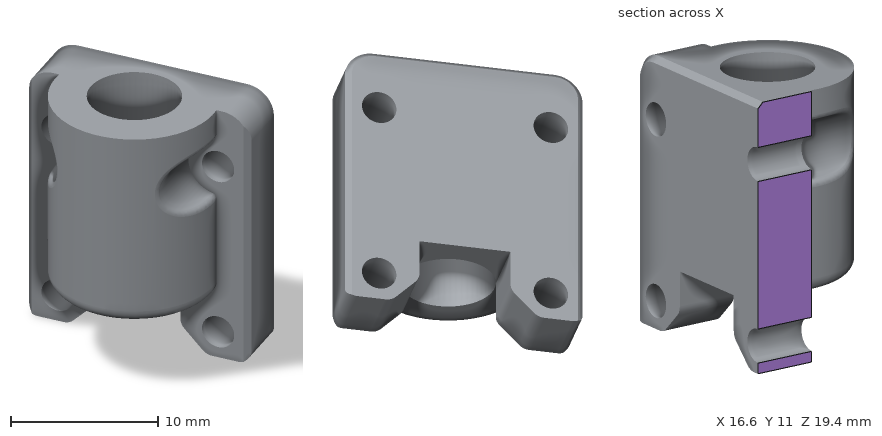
import cadquery as cq
import math

height = 19.4
plate_width = 16.6
plate_thickness = 4.5
plate_back = 5.06
plate_front = plate_back - plate_thickness
plate_chamfer = 0.4
top_corner_radius = 2.0
foot_corner_radius = 0.75

gap_width = 6.36
gap_height = 4.87
leg_chamfer = 1.94
leg_round = 1.0

barrel_radius = 5.9
barrel_bottom_fillet = 1.0
bore_diameter = 6.5

hole_diameter = 2.4
hole_x = 6.0
lower_hole_z = 2.0
hole_pitch_z = 13.0
upper_hole_z = lower_hole_z + hole_pitch_z
scallop_radius = 2.21
scallop_fillet = 0.4


def rod_along_y(x, z, radius, y_start, y_end):
    """Cylinder parallel to Y between two Y positions."""
    length = y_end - y_start
    return cq.Workplane("XZ", origin=(x, y_end, z)).circle(radius).extrude(length)


def make_plate():
    """Plate with rounded corners, beveled edges and a gap between its legs."""
    half_width = plate_width / 2
    half_gap = gap_width / 2
    margin = 0.2

    blank = (
        cq.Workplane("XY")
        .box(plate_width, plate_thickness, height, centered=(True, False, False))
        .translate((0, plate_front, 0))
    )
    front_beveled = blank.edges("|Z and <Y").chamfer(plate_chamfer)

    back_beveled = blank.edges("|Y and >Z").fillet(top_corner_radius)
    back_beveled = back_beveled.faces(">Y").edges("not <Z").chamfer(plate_chamfer)

    outline = (
        cq.Workplane("XZ", origin=(0, plate_back, 0))
        .moveTo(-half_width, 0)
        .lineTo(-half_width, height)
        .lineTo(half_width, height)
        .lineTo(half_width, 0)
        .lineTo(half_gap + leg_chamfer, 0)
        .lineTo(half_gap, leg_chamfer)
        .lineTo(half_gap, gap_height)
        .lineTo(-half_gap, gap_height)
        .lineTo(-half_gap, leg_chamfer)
        .lineTo(-half_gap - leg_chamfer, 0)
        .close()
        .extrude(plate_thickness)
    )

    foot_zone = cq.selectors.BoxSelector(
        (-half_width - margin, plate_front, -margin), (half_width + margin, plate_back, leg_chamfer + margin)
    )
    outline = outline.edges("|Y").edges(foot_zone).edges("<X or >X").fillet(foot_corner_radius)
    inner_zone = cq.selectors.BoxSelector(
        (-half_gap - leg_chamfer - margin, plate_front, -margin),
        (half_gap + leg_chamfer + margin, plate_back, leg_chamfer + margin),
    )
    outline = outline.edges("|Y").edges(inner_zone).fillet(leg_round)
    return front_beveled.intersect(back_beveled).intersect(outline)


def make_barrel():
    """Part of the barrel in front of the plate, scalloped beside the upper holes."""
    half_chord = math.sqrt(barrel_radius**2 - plate_front**2)
    barrel = (
        cq.Workplane("XY", origin=(0, 0, gap_height))
        .moveTo(-half_chord, plate_front)
        .threePointArc((0, -barrel_radius), (half_chord, plate_front))
        .close()
        .extrude(height - gap_height)
    )
    barrel = barrel.edges("<Z").edges("%CIRCLE").fillet(barrel_bottom_fillet)
    for x in (-hole_x, hole_x):
        barrel = barrel.cut(rod_along_y(x, upper_hole_z, scallop_radius, -barrel_radius, plate_front))

    face_clearance = 0.2
    rim_zone = cq.selectors.BoxSelector(
        (-barrel_radius, -barrel_radius, upper_hole_z - scallop_radius),
        (barrel_radius, plate_front - face_clearance, upper_hole_z + scallop_radius),
    )
    return barrel.edges(rim_zone).fillet(scallop_fillet)


result = make_plate().union(make_barrel())

result = result.cut(cq.Workplane("XY").circle(bore_diameter / 2).extrude(height))

for x in (-hole_x, hole_x):
    for z in (lower_hole_z, upper_hole_z):
        result = result.cut(rod_along_y(x, z, hole_diameter / 2, plate_front, plate_back))